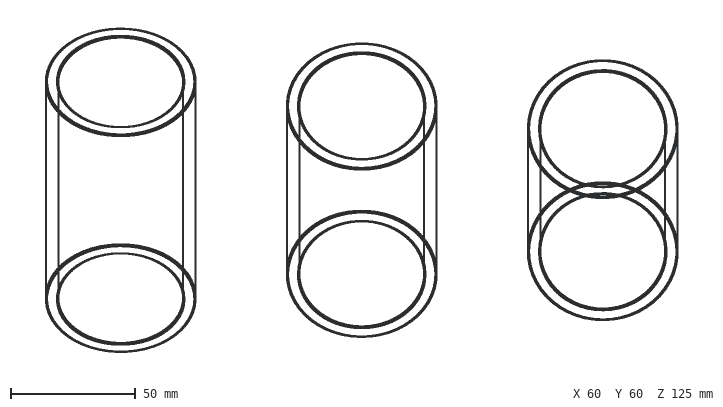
import cadquery as cq

outer_diameter = 60.0
bore_diameter = 50.0
length = 125.0
edge_chamfer = 0.5


def tube():
    """Plain cylindrical sleeve along Z, centred on the origin."""
    return (
        cq.Workplane("XY")
        .workplane(offset=-length / 2)
        .circle(outer_diameter / 2)
        .circle(bore_diameter / 2)
        .extrude(length)
    )


result = tube().faces("|Z").edges().chamfer(edge_chamfer)